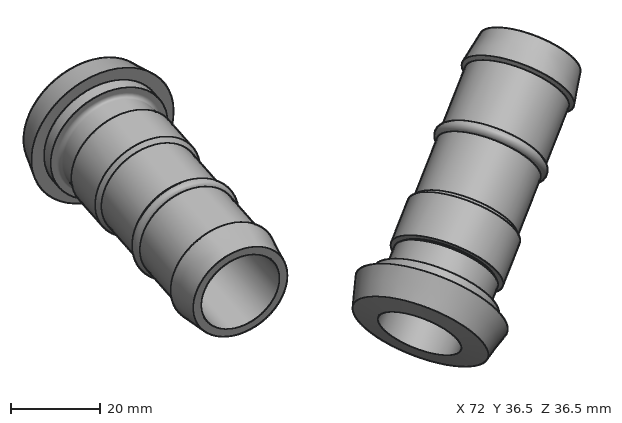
import cadquery as cq
import math

total_length = 72.0
bore_radius = 20.0 / 2
pipe_radius = 25.0 / 2
step_radius = 27.0 / 2
joint_x = 17.8

flange_radius = 36.5 / 2
face_radius = 16.3
face_depth = 0.5
flange_end_x = 7.85
collar_radius = 30.0 / 2
collar_end_x = 10.95
neck_fillet = 1.0
joint_chamfer = 0.65
land_radius = 10.5

sleeve_end_x = 28.9
sleeve_taper_end_x = 29.95
bead_center_x = 46.45
bead_radius = 1.5
barb_start_x = 63.35
barb_crest_x = 64.0
barb_tip_radius = 12.1


def revolve_about_x(profile):
    """Close a half profile of (x, radius) points and turn it about the X axis."""
    return profile.close().revolve(360, (0, 0, 0), (1, 0, 0))


def make_flanged_end():
    """Tapered sealing flange, collar and neck, with a bevel at the joint."""
    fillet_center_x = collar_end_x + neck_fillet
    fillet_center_radius = pipe_radius + neck_fillet
    fillet_offset = neck_fillet * math.sqrt(0.5)
    profile = (
        cq.Workplane("XY")
        .moveTo(0, bore_radius)
        .lineTo(0, land_radius)
        .lineTo(face_depth, face_radius)
        .lineTo(flange_end_x, flange_radius)
        .lineTo(flange_end_x, collar_radius)
        .lineTo(collar_end_x, collar_radius)
        .lineTo(collar_end_x, fillet_center_radius)
        .threePointArc(
            (fillet_center_x - fillet_offset, fillet_center_radius - fillet_offset),
            (fillet_center_x, pipe_radius),
        )
        .lineTo(joint_x - joint_chamfer, pipe_radius)
        .lineTo(joint_x, pipe_radius - joint_chamfer)
        .lineTo(joint_x, bore_radius)
    )
    return revolve_about_x(profile)


def make_hose_tail():
    """Sleeve, pipe with a rounded bead, and a barb at the free end."""
    bead_center_radius = step_radius - bead_radius
    bead_half_width = math.sqrt(bead_radius**2 - (pipe_radius - bead_center_radius) ** 2)
    profile = (
        cq.Workplane("XY")
        .moveTo(joint_x, bore_radius)
        .lineTo(joint_x, step_radius)
        .lineTo(sleeve_end_x, step_radius)
        .lineTo(sleeve_taper_end_x, pipe_radius)
        .lineTo(bead_center_x - bead_half_width, pipe_radius)
        .threePointArc(
            (bead_center_x, step_radius),
            (bead_center_x + bead_half_width, pipe_radius),
        )
        .lineTo(barb_start_x, pipe_radius)
        .lineTo(barb_crest_x, step_radius)
        .lineTo(total_length, barb_tip_radius)
        .lineTo(total_length, bore_radius)
    )
    return revolve_about_x(profile)


flanged_end = make_flanged_end()
hose_tail = make_hose_tail()

result = cq.Compound.makeCompound([flanged_end.val(), hose_tail.val()])